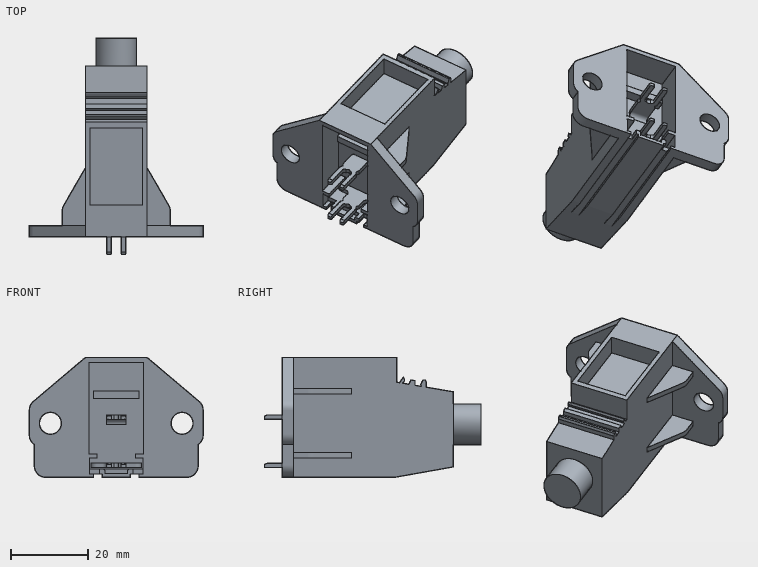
import cadquery as cq
import math


BODY_HALF_WIDTH = 8.0
BODY_HEIGHT = 31.0
BODY_BACK_Y = 44.25
TOP_STEP_Y = 29.7
TOP_STEP_Z = 24.65
TOP_BACK_Z = 22.2
BOTTOM_SLOPE_Y = 29.1
BOTTOM_BACK_Z = 2.7

FLANGE_THICKNESS = 2.9
FLANGE_HALF_WIDTH = 22.5
FLANGE_LOWER_HALF_WIDTH = 21.2
FLANGE_CORNER_RADIUS = 3.0
EAR_TOP_Z = 18.75
EAR_BOTTOM_Z = 7.95
LOWER_FLANGE_TOP_Z = 11.2
SCREW_HOLE_X = 17.0
SCREW_HOLE_Z = 14.0
SCREW_HOLE_DIAMETER = 5.6

GUSSET_THICKNESS = 1.45
GUSSET_HALF_WIDTH = 14.0
GUSSET_END_Y = 17.85
GUSSET_SLOPE_DEG = 60
GUSSET_BEND_RADIUS = 3.0
GUSSET_BOTTOMS_Z = (5.05, 21.55)

TOOTH_OUTLINES = (
    ((37.3, 22.4), (37.3, 24.6), (36.95, 25.25), (36.4, 25.25), (35.8, 24.1), (35.95, 23.5), (35.95, 22.4)),
    ((34.4, 22.4), (34.4, 25.05), (33.25, 25.25), (32.7, 24.1), (32.7, 22.4)),
    ((31.15, 24.3), (31.65, 24.9), (31.65, 25.35), (31.3, 25.9), (30.25, 24.4)),
)

LABEL_HALF_WIDTH = 6.85
LABEL_FRONT_Y = 8.3
LABEL_BACK_Y = 28.2
LABEL_DEPTH = 5.2

CAVITY_DEPTH = 7.55
CAVITY_HALF_WIDTH = 7.05
CAVITY_TOP_Z = 29.7
RAIL_TOP_Z = 6.1
RAIL_BOTTOM_Z = 5.05
RAIL_GAP_HALF_WIDTH = 4.9
CHANNEL_HALF_WIDTH = 6.9
CHANNEL_FLOOR_Z = 0.85
BAR_HALF_WIDTH = 5.9
BAR_BOTTOM_Z = 20.4
BAR_TOP_Z = 22.3
BAR_LENGTH = 2.4

SHELF_TOP_Z = 2.2
SHELF_FRONT_Y = 2.35
TONGUE_HALF_WIDTH = 4.3
GROOVE_INNER_X = 3.65
GROOVE_OUTER_X = 5.8
RECESS_HALF_WIDTH = 2.95
RECESS_FLOOR_Z = 1.0
RECESS_DEPTH = 1.7
RECESS_LEAD_IN_X = 0.3
RECESS_LEAD_IN_Z = 0.4

CONTACT_THICKNESS = 1.2
CONTACT_HALF_WIDTH = 2.45
CONTACT_TIP_Y = -4.6
UPPER_CONTACT_Z = 15.0
LOWER_CONTACT_Z = 2.5
PRONG_SLOT_HALF_WIDTH = 1.3
PRONG_SLOT_END_Y = 1.4
PRONG_SLOT_CORNER_RADIUS = 0.55
NOTCH_RADIUS = 0.7
NOTCH_OFFSET = 0.35
SIDE_NOTCH_Y = 2.1
PRONG_TIP_RADIUS = 0.4
TIP_CHAMFER_HEIGHT = 0.35
TIP_CHAMFER_LENGTH = 0.7
BEND_INNER_RADIUS = 1.35
SHOULDER_HALF_WIDTH = 6.55
SHOULDER_Y = 5.7
SHOULDER_OUTER_RADIUS = 1.55
SHOULDER_INNER_RADIUS = 1.0

CABLE_DIAMETER = 10.6
CABLE_CENTRE_Z = 13.7
CABLE_END_Y = 51.4


def box(x_range, y_range, z_range):
    """Axis-aligned block between the given limits."""
    size = [high - low for low, high in (x_range, y_range, z_range)]
    corner = (x_range[0], y_range[0], z_range[0])
    return cq.Workplane("XY").box(*size, centered=False).translate(corner)


def centred_box(half_width, y_range, z_range):
    """Block symmetric about the YZ plane."""
    return box((-half_width, half_width), y_range, z_range)


def side_prism(points, half_width):
    """(y, z) outline extruded symmetrically across X."""
    return cq.Workplane("YZ").polyline(points).close().extrude(half_width, both=True)


def front_prism(points, depth):
    """(x, z) outline extruded from the mating face along +Y."""
    return cq.Workplane("XZ").polyline(points).close().extrude(-depth)


def make_body_block():
    outline = [
        (0, 0),
        (BOTTOM_SLOPE_Y, 0),
        (BODY_BACK_Y, BOTTOM_BACK_Z),
        (BODY_BACK_Y, TOP_BACK_Z),
        (TOP_STEP_Y, TOP_STEP_Z),
        (TOP_STEP_Y, BODY_HEIGHT),
        (0, BODY_HEIGHT),
    ]
    return side_prism(outline, BODY_HALF_WIDTH)


def make_flange():
    ears = front_prism(
        [
            (-BODY_HALF_WIDTH, BODY_HEIGHT),
            (BODY_HALF_WIDTH, BODY_HEIGHT),
            (FLANGE_HALF_WIDTH, EAR_TOP_Z),
            (FLANGE_HALF_WIDTH, EAR_BOTTOM_Z),
            (-FLANGE_HALF_WIDTH, EAR_BOTTOM_Z),
            (-FLANGE_HALF_WIDTH, EAR_TOP_Z),
        ],
        FLANGE_THICKNESS,
    )
    ears = ears.edges("|Y").edges("<X or >X").fillet(FLANGE_CORNER_RADIUS)
    lower = centred_box(FLANGE_LOWER_HALF_WIDTH, (0, FLANGE_THICKNESS), (0, LOWER_FLANGE_TOP_Z))
    lower = lower.edges("|Y and <Z").fillet(FLANGE_CORNER_RADIUS)
    holes = (
        cq.Workplane("XZ")
        .pushPoints([(-SCREW_HOLE_X, SCREW_HOLE_Z), (SCREW_HOLE_X, SCREW_HOLE_Z)])
        .circle(SCREW_HOLE_DIAMETER / 2)
        .extrude(-FLANGE_THICKNESS)
    )
    return ears.union(lower).cut(holes)


def make_gusset_pair(bottom_z):
    """Level web on both sides of the body, tapering towards the back."""
    slope_run = (GUSSET_HALF_WIDTH - BODY_HALF_WIDTH) * math.tan(math.radians(GUSSET_SLOPE_DEG))
    bend_y = GUSSET_END_Y - slope_run
    outline = [
        (-GUSSET_HALF_WIDTH, 0),
        (-GUSSET_HALF_WIDTH, bend_y),
        (-BODY_HALF_WIDTH, GUSSET_END_Y),
        (BODY_HALF_WIDTH, GUSSET_END_Y),
        (GUSSET_HALF_WIDTH, bend_y),
        (GUSSET_HALF_WIDTH, 0),
    ]
    web = cq.Workplane("XY", origin=(0, 0, bottom_z)).polyline(outline).close().extrude(GUSSET_THICKNESS)
    return web.edges("|Z").edges("<X or >X").edges(">Y").fillet(GUSSET_BEND_RADIUS)


def make_cavity():
    """Open space behind the mating face, narrowed by the two rails."""
    depth = (0, CAVITY_DEPTH)
    main = centred_box(CAVITY_HALF_WIDTH, depth, (RAIL_TOP_Z, CAVITY_TOP_Z))
    between_rails = centred_box(RAIL_GAP_HALF_WIDTH, depth, (RAIL_BOTTOM_Z, RAIL_TOP_Z))
    channel = centred_box(CHANNEL_HALF_WIDTH, depth, (CHANNEL_FLOOR_Z, RAIL_BOTTOM_Z))
    return main.union(between_rails).union(channel)


def make_tongue():
    """Shelf across the channel and the recessed tongue in front of it."""
    height = (CHANNEL_FLOOR_Z, SHELF_TOP_Z)
    shelf = centred_box(CHANNEL_HALF_WIDTH, (SHELF_FRONT_Y, CAVITY_DEPTH), height)
    tongue = centred_box(TONGUE_HALF_WIDTH, (0, CAVITY_DEPTH), height)
    lead_in_half_width = RECESS_HALF_WIDTH + RECESS_LEAD_IN_X
    lead_in_z = SHELF_TOP_Z - RECESS_LEAD_IN_Z
    recess = front_prism(
        [
            (-lead_in_half_width, SHELF_TOP_Z),
            (-RECESS_HALF_WIDTH, lead_in_z),
            (-RECESS_HALF_WIDTH, RECESS_FLOOR_Z),
            (RECESS_HALF_WIDTH, RECESS_FLOOR_Z),
            (RECESS_HALF_WIDTH, lead_in_z),
            (lead_in_half_width, SHELF_TOP_Z),
        ],
        RECESS_DEPTH,
    )
    return shelf.union(tongue).cut(recess)


def make_housing():
    housing = make_body_block().union(make_flange())
    for bottom_z in GUSSET_BOTTOMS_Z:
        housing = housing.union(make_gusset_pair(bottom_z))
    for outline in TOOTH_OUTLINES:
        housing = housing.union(side_prism(outline, BODY_HALF_WIDTH))

    label_pocket = centred_box(
        LABEL_HALF_WIDTH, (LABEL_FRONT_Y, LABEL_BACK_Y), (BODY_HEIGHT - LABEL_DEPTH, BODY_HEIGHT)
    )
    housing = housing.cut(label_pocket).cut(make_cavity()).union(make_tongue())

    bar = centred_box(BAR_HALF_WIDTH, (CAVITY_DEPTH - BAR_LENGTH, CAVITY_DEPTH), (BAR_BOTTOM_Z, BAR_TOP_Z))
    housing = housing.union(bar)

    for left_x, right_x in ((-GROOVE_OUTER_X, -GROOVE_INNER_X), (GROOVE_INNER_X, GROOVE_OUTER_X)):
        housing = housing.cut(box((left_x, right_x), (0, BODY_BACK_Y), (0, CHANNEL_FLOOR_Z)))
    return housing


def make_fork(end_y):
    """Flat two-pronged contact with its underside at z = 0, ending at end_y."""
    thickness = (0, CONTACT_THICKNESS)
    fork = centred_box(CONTACT_HALF_WIDTH, (CONTACT_TIP_Y, end_y), thickness)
    slot = centred_box(PRONG_SLOT_HALF_WIDTH, (CONTACT_TIP_Y, PRONG_SLOT_END_Y), thickness)
    slot = slot.edges("|Z and >Y").fillet(PRONG_SLOT_CORNER_RADIUS)
    fork = fork.cut(slot)

    notch_side_x = CONTACT_HALF_WIDTH + NOTCH_OFFSET
    notches = (
        cq.Workplane("XY")
        .pushPoints(
            [
                (0, PRONG_SLOT_END_Y - NOTCH_OFFSET),
                (-notch_side_x, SIDE_NOTCH_Y),
                (notch_side_x, SIDE_NOTCH_Y),
            ]
        )
        .circle(NOTCH_RADIUS)
        .extrude(CONTACT_THICKNESS)
    )
    fork = fork.cut(notches)
    fork = fork.edges("|Z and <Y").fillet(PRONG_TIP_RADIUS)
    tip_bevel = side_prism(
        [
            (CONTACT_TIP_Y, CONTACT_THICKNESS - TIP_CHAMFER_HEIGHT),
            (CONTACT_TIP_Y + TIP_CHAMFER_LENGTH, CONTACT_THICKNESS),
            (CONTACT_TIP_Y, CONTACT_THICKNESS),
        ],
        CONTACT_HALF_WIDTH,
    )
    return fork.cut(tip_bevel)


def make_upper_contact():
    """Fork whose back end bends down into the cavity's back wall."""
    bend_start_y = CAVITY_DEPTH - BEND_INNER_RADIUS
    bend_outer_radius = BEND_INNER_RADIUS + CONTACT_THICKNESS
    bend = (
        cq.Workplane("YZ")
        .moveTo(bend_start_y, 0)
        .lineTo(bend_start_y, CONTACT_THICKNESS)
        .radiusArc((bend_start_y + bend_outer_radius, -BEND_INNER_RADIUS), bend_outer_radius)
        .lineTo(CAVITY_DEPTH, -BEND_INNER_RADIUS)
        .radiusArc((bend_start_y, 0), -BEND_INNER_RADIUS)
        .close()
        .extrude(CONTACT_HALF_WIDTH, both=True)
    )
    return make_fork(bend_start_y).union(bend).translate((0, 0, UPPER_CONTACT_Z))


def make_lower_contact():
    """Fork that widens into shoulders next to the cavity's back wall."""
    shoulders = centred_box(SHOULDER_HALF_WIDTH, (SHOULDER_Y, CAVITY_DEPTH), (0, CONTACT_THICKNESS))
    shoulders = shoulders.edges("|Z and <Y").fillet(SHOULDER_OUTER_RADIUS)
    contact = make_fork(CAVITY_DEPTH).union(shoulders)
    margin = 0.05
    inner_corners = cq.selectors.BoxSelector(
        (-CONTACT_HALF_WIDTH - margin, SHOULDER_Y - margin, 0),
        (CONTACT_HALF_WIDTH + margin, SHOULDER_Y + margin, CONTACT_THICKNESS),
    )
    contact = contact.edges("|Z").edges(inner_corners).fillet(SHOULDER_INNER_RADIUS)
    return contact.translate((0, 0, LOWER_CONTACT_Z))


def make_cable():
    """Round cable leaving the back of the housing."""
    plane = cq.Workplane("XZ", origin=(0, BODY_BACK_Y, CABLE_CENTRE_Z))
    return plane.circle(CABLE_DIAMETER / 2).extrude(BODY_BACK_Y - CABLE_END_Y)


upper_contact = make_upper_contact()
lower_contact = make_lower_contact()
cable = make_cable()
housing = make_housing().cut(upper_contact).cut(lower_contact)

result = cq.Compound.makeCompound([housing.val(), upper_contact.val(), lower_contact.val(), cable.val()])